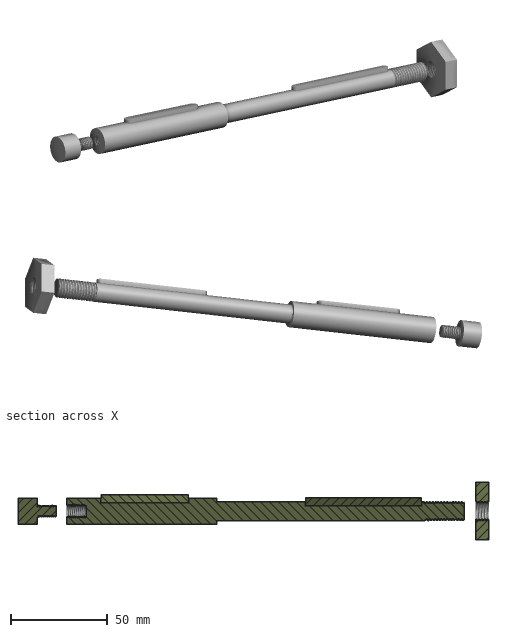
import cadquery as cq
import math

TOTAL_LENGTH = 243.0

NUT_WIDTH = 26.0
NUT_THICKNESS = 7.0

SHAFT_DIAMETER = 10.0
SHAFT_LENGTH = 127.5
SLEEVE_DIAMETER = 13.5
SLEEVE_LENGTH = 77.8
SCREW_GAP = 5.0

SHAFT_ROOT_DIAMETER = 8.3
SHAFT_PITCH = 1.5
SHAFT_THREAD_LENGTH = 20.7

HEAD_DIAMETER = SLEEVE_DIAMETER
HEAD_LENGTH = 10.0
SCREW_DIAMETER = 6.5
SCREW_ROOT_DIAMETER = 4.9
SCREW_LENGTH = 10.0
SCREW_PITCH = 1.0
HOLE_CREST_DIAMETER = 4.9
HOLE_ROOT_DIAMETER = 6.8
HOLE_DEPTH = SCREW_LENGTH

SHAFT_KEY_LENGTH = 60.0
SHAFT_KEY_WIDTH = 4.0
SHAFT_KEY_TOP = 7.0
SHAFT_KEY_END_GAP = 1.5
SLEEVE_KEY_LENGTH = 45.2
SLEEVE_KEY_WIDTH = 5.0
SLEEVE_KEY_TOP = 8.5
SLEEVE_KEY_END_GAP = 14.8
SLEEVE_KEY_TILT = -0.4
SHAFT_KEY_SEAT = 3.0
SLEEVE_KEY_SEAT = 4.4

LAND_SHARE = 0.25
FLANK_STEPS = 4

HEAD_Y = -TOTAL_LENGTH / 2
SCREW_Y = HEAD_Y + HEAD_LENGTH
SLEEVE_Y = SCREW_Y + SCREW_LENGTH + SCREW_GAP
STEP_Y = SLEEVE_Y + SLEEVE_LENGTH
SHAFT_END_Y = STEP_Y + SHAFT_LENGTH
THREAD_Y = SHAFT_END_Y - SHAFT_THREAD_LENGTH
NUT_Y = TOTAL_LENGTH / 2 - NUT_THICKNESS


def rod(diameter, start_y, length):
    """Cylinder on the Y axis from start_y towards +Y."""
    return cq.Workplane("XZ", origin=(0, start_y, 0)).circle(diameter / 2).extrude(-length)


def thread_section(land_radius, tip_radius):
    """Cross-section of a single-start thread: a land arc and two spiral flanks meeting at the V tip."""
    land_half = math.pi * LAND_SHARE

    def point(radius, angle):
        return (radius * math.cos(angle), radius * math.sin(angle))

    def on_flank(share):
        radius = land_radius + share * (tip_radius - land_radius)
        return point(radius, land_half + share * (math.pi - land_half))

    flank = [on_flank(step / FLANK_STEPS) for step in range(FLANK_STEPS + 1)]
    opposite_flank = [(x, -y) for x, y in reversed(flank)]
    section = cq.Workplane("XY").moveTo(*opposite_flank[-1])
    section = section.threePointArc((land_radius, 0), flank[0])
    return section.spline(flank).spline(opposite_flank).close()


def threaded_rod(land_diameter, tip_diameter, pitch, start_y, length):
    """Right-hand threaded rod on the Y axis from start_y towards +Y, with flat ends."""
    section = thread_section(land_diameter / 2, tip_diameter / 2)
    thread = section.twistExtrude(length, 360 * length / pitch)
    return thread.rotate((0, 0, 0), (1, 0, 0), -90).translate((0, start_y, 0))


def key(length, width, end_y, seat_z, top_z, tilt=0):
    """Round-ended key from seat_z up to top_z, running from end_y towards -Y and tilted about Z there."""
    blank = cq.Workplane("XY", origin=(0, end_y - length / 2, seat_z))
    blank = blank.slot2D(length, width, 90).extrude(top_z - seat_z)
    return blank.rotate((0, end_y, 0), (0, end_y, 1), tilt)


def make_nut():
    corner_diameter = NUT_WIDTH / math.cos(math.pi / 6)
    blank = cq.Workplane("XZ", origin=(0, NUT_Y, 0)).polygon(6, corner_diameter).extrude(-NUT_THICKNESS)
    blank = blank.rotate((0, 0, 0), (0, 1, 0), 30)
    tap = threaded_rod(
        SHAFT_ROOT_DIAMETER, SHAFT_DIAMETER, SHAFT_PITCH,
        NUT_Y - SHAFT_PITCH, NUT_THICKNESS + 2 * SHAFT_PITCH,
    )
    return blank.cut(tap)


def make_screw():
    head = rod(HEAD_DIAMETER, HEAD_Y, HEAD_LENGTH)
    return head.union(threaded_rod(SCREW_DIAMETER, SCREW_ROOT_DIAMETER, SCREW_PITCH, SCREW_Y, SCREW_LENGTH))


def make_shaft(keys):
    sleeve = rod(SLEEVE_DIAMETER, SLEEVE_Y, SLEEVE_LENGTH)
    stem = rod(SHAFT_DIAMETER, STEP_Y, THREAD_Y - STEP_Y)
    tip = threaded_rod(SHAFT_DIAMETER, SHAFT_ROOT_DIAMETER, SHAFT_PITCH, THREAD_Y, SHAFT_THREAD_LENGTH)
    tap = threaded_rod(
        HOLE_CREST_DIAMETER, HOLE_ROOT_DIAMETER, SCREW_PITCH,
        SLEEVE_Y - SCREW_PITCH, HOLE_DEPTH + SCREW_PITCH,
    )
    body = sleeve.union(stem).union(tip).cut(tap)
    for seated_key in keys:
        body = body.cut(seated_key)
    return body


shaft_key = key(
    SHAFT_KEY_LENGTH, SHAFT_KEY_WIDTH,
    THREAD_Y - SHAFT_KEY_END_GAP, SHAFT_KEY_SEAT, SHAFT_KEY_TOP,
)
sleeve_key = key(
    SLEEVE_KEY_LENGTH, SLEEVE_KEY_WIDTH,
    STEP_Y - SLEEVE_KEY_END_GAP, SLEEVE_KEY_SEAT, SLEEVE_KEY_TOP, SLEEVE_KEY_TILT,
)
nut = make_nut()
screw = make_screw()
shaft = make_shaft([shaft_key, sleeve_key])

result = cq.Compound.makeCompound(
    [nut.solids().val(), shaft.solids().val(), shaft_key.val(), sleeve_key.val(), screw.solids().val()]
)